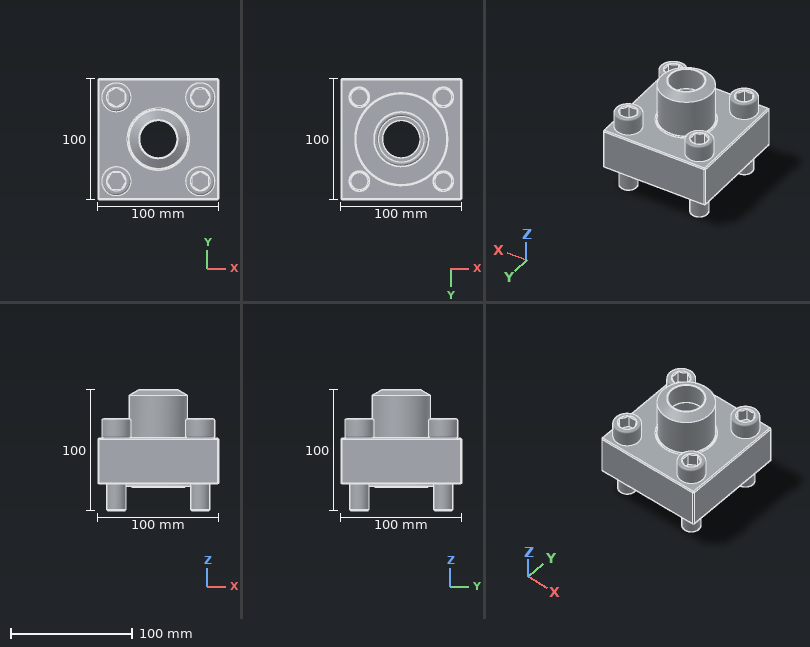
import cadquery as cq
import math

FLANGE_SIDE = 100.0
FLANGE_HEIGHT = 38.0
FLANGE_CHAMFER = 1.0
FLANGE_BORE_DIA = 49.5
BORE_MOUTH_CHAMFER = 1.0
RECESS_DIA = 77.0

BOLT_SPACING = 69.3
SCREW_HOLE_DIA = 17.0
SHANK_DIA = 16.0
SHANK_LENGTH = 60.0
SHANK_CHAMFER = 1.0
HEAD_DIA = 24.0
HEAD_HEIGHT = 16.0
HEAD_TOP_FILLET = 1.6
HEAD_BASE_FILLET = 1.5
SOCKET_FLATS = 14.0
SOCKET_DEPTH = 12.0
SOCKET_MOUTH_DIA = 16.2
SOCKET_MOUTH_ANGLE = 45.0

HUB_TOP = 100.0
PIPE_DIA = 48.3
PIPE_BORE_DIA = 30.7
PIPE_LIP_WIDTH = 0.8
WELD_BEVEL_ANGLE = 30.0
NECK_DIA = 49.0
NECK_PROTRUSION = 0.5
HUB_BORE_DIA = 31.0
PIPE_BORE_DEPTH = 20.0
COLLAR_DIA = 76.0
COLLAR_HEIGHT = 20.0
COLLAR_PROTRUSION = 2.0
COLLAR_CHAMFER = 0.5

RING_INNER_DIA = 37.7
RING_SECTION_DIA = 3.5
GROOVE_OUTER_DIA = 45.5
RING_PROTRUSION = 0.9

FLANGE_TOP = SHANK_LENGTH
FLANGE_BOTTOM = FLANGE_TOP - FLANGE_HEIGHT
NECK_TOP = FLANGE_TOP + NECK_PROTRUSION
HUB_BORE_TOP = HUB_TOP - PIPE_BORE_DEPTH
COLLAR_BOTTOM = FLANGE_BOTTOM - COLLAR_PROTRUSION
COLLAR_TOP = COLLAR_BOTTOM + COLLAR_HEIGHT
GROOVE_DEPTH = RING_SECTION_DIA - RING_PROTRUSION
GROOVE_TOP = COLLAR_BOTTOM + GROOVE_DEPTH


def cylinder(diameter, bottom, top):
    return cq.Workplane("XY").workplane(offset=bottom).circle(diameter / 2).extrude(top - bottom)


def make_flange():
    flange = (
        cq.Workplane("XY")
        .workplane(offset=FLANGE_BOTTOM)
        .rect(FLANGE_SIDE, FLANGE_SIDE)
        .extrude(FLANGE_HEIGHT)
        .edges()
        .chamfer(FLANGE_CHAMFER)
    )
    bore = cylinder(FLANGE_BORE_DIA, FLANGE_BOTTOM, FLANGE_TOP)
    flange = flange.cut(bore)
    flange = flange.faces(">Z").edges("%CIRCLE").chamfer(BORE_MOUTH_CHAMFER)
    flange = flange.cut(cylinder(RECESS_DIA, FLANGE_BOTTOM, COLLAR_TOP))
    screw_holes = (
        cq.Workplane("XY")
        .workplane(offset=FLANGE_BOTTOM)
        .rect(BOLT_SPACING, BOLT_SPACING, forConstruction=True)
        .vertices()
        .circle(SCREW_HOLE_DIA / 2)
        .extrude(FLANGE_HEIGHT)
    )
    return flange.cut(screw_holes)


def make_hub():
    pipe_radius = PIPE_DIA / 2
    lip_radius = PIPE_BORE_DIA / 2 + PIPE_LIP_WIDTH
    bevel_height = (pipe_radius - lip_radius) * math.tan(math.radians(WELD_BEVEL_ANGLE))
    collar_radius = COLLAR_DIA / 2
    profile = (
        cq.Workplane("XZ")
        .moveTo(HUB_BORE_DIA / 2, COLLAR_BOTTOM)
        .lineTo(collar_radius - COLLAR_CHAMFER, COLLAR_BOTTOM)
        .lineTo(collar_radius, COLLAR_BOTTOM + COLLAR_CHAMFER)
        .lineTo(collar_radius, COLLAR_TOP)
        .lineTo(NECK_DIA / 2, COLLAR_TOP)
        .lineTo(NECK_DIA / 2, NECK_TOP)
        .lineTo(pipe_radius, NECK_TOP)
        .lineTo(pipe_radius, HUB_TOP - bevel_height)
        .lineTo(lip_radius, HUB_TOP)
        .lineTo(PIPE_BORE_DIA / 2, HUB_TOP)
        .lineTo(PIPE_BORE_DIA / 2, HUB_BORE_TOP)
        .lineTo(HUB_BORE_DIA / 2, HUB_BORE_TOP)
        .close()
    )
    hub = profile.revolve(360, (0, 0, 0), (0, 1, 0))
    groove = cylinder(GROOVE_OUTER_DIA, COLLAR_BOTTOM, GROOVE_TOP)
    groove = groove.cut(cylinder(RING_INNER_DIA, COLLAR_BOTTOM, GROOVE_TOP))
    return hub.cut(groove)


def make_o_ring():
    section_radius = RING_SECTION_DIA / 2
    mean_radius = RING_INNER_DIA / 2 + section_radius
    ring = cq.Solid.makeTorus(mean_radius, section_radius)
    return cq.Workplane(ring).translate((0, 0, GROOVE_TOP - section_radius))


def make_screw(x, y, socket_angle):
    head_top = SHANK_LENGTH + HEAD_HEIGHT
    shank = cylinder(SHANK_DIA, 0, SHANK_LENGTH).faces("<Z").chamfer(SHANK_CHAMFER)
    head = cylinder(HEAD_DIA, SHANK_LENGTH, head_top)
    head = head.faces(">Z").edges().fillet(HEAD_TOP_FILLET)
    head = head.faces("<Z").edges().fillet(HEAD_BASE_FILLET)
    socket = (
        cq.Workplane("XY")
        .workplane(offset=head_top - SOCKET_DEPTH)
        .polygon(6, SOCKET_FLATS / math.cos(math.pi / 6))
        .extrude(SOCKET_DEPTH)
    )
    mouth_radius = SOCKET_MOUTH_DIA / 2
    mouth_depth = mouth_radius * math.tan(math.radians(SOCKET_MOUTH_ANGLE))
    mouth_cone = cq.Solid.makeCone(0, mouth_radius, mouth_depth)
    mouth = cq.Workplane(mouth_cone).translate((0, 0, head_top - mouth_depth))
    screw = shank.union(head).cut(socket).cut(mouth)
    return screw.rotate((0, 0, 0), (0, 0, 1), socket_angle).translate((x, y, 0))


flange = make_flange()
hub = make_hub()
o_ring = make_o_ring()
screws = []
for side_x in (-1, 1):
    for side_y in (-1, 1):
        socket_angle = 0 if side_x == side_y else 30
        x = side_x * BOLT_SPACING / 2
        y = side_y * BOLT_SPACING / 2
        screws.append(make_screw(x, y, socket_angle).val())

result = cq.Compound.makeCompound([flange.val(), hub.val(), o_ring.val(), *screws])